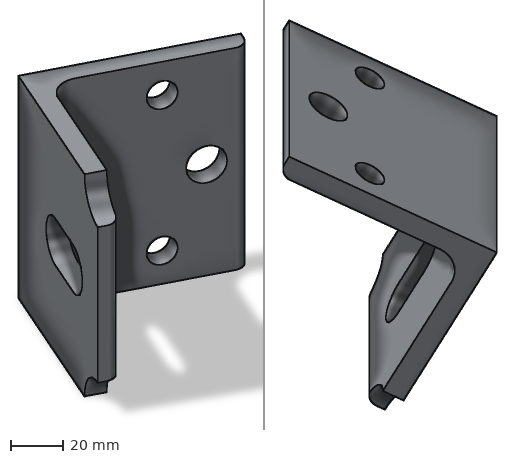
import cadquery as cq

leg = 90.0
height = 100.0
thickness = 9.0
root_radius = 11.0
toe_radius = 5.5

slot_length = 41.0
slot_width = 21.0
slot_center_x = 52.0

notch_radius = 15.0

small_hole_diameter = 12.5
small_hole_y = 55.0
small_hole_edge_distance = 15.0
large_hole_diameter = 16.5
large_hole_y = 73.0

mid_height = height / 2


def angle_profile():
    """L-shaped section with sharp inner root and toes."""
    return (
        cq.Workplane("XY")
        .polyline([
            (0, 0),
            (leg, 0),
            (leg, thickness),
            (thickness, thickness),
            (thickness, leg),
            (0, leg),
        ])
        .close()
    )


def vertical_edge(body, x, y):
    """Select the vertical edge nearest to the point (x, y)."""
    return body.edges("|Z").edges(cq.NearestToPointSelector((x, y, mid_height)))


def angle_bar():
    """Angle with its root filleted and both toes rounded on the inner side."""
    body = angle_profile().extrude(height)
    body = vertical_edge(body, thickness, thickness).fillet(root_radius)
    for x, y in [(leg, thickness), (thickness, leg)]:
        body = vertical_edge(body, x, y).fillet(toe_radius)
    return body


def through_x_leg(sketch):
    """Turn a closed XZ outline into a cutter through the leg along X."""
    return sketch.extrude(-thickness)


def round_hole(y, z, diameter):
    """Cutter for a round hole through the leg along Y."""
    return cq.Workplane("YZ").center(y, z).circle(diameter / 2).extrude(thickness)


result = angle_bar()

slot = cq.Workplane("XZ").center(slot_center_x, mid_height).slot2D(slot_length, slot_width)
result = result.cut(through_x_leg(slot))

for corner_z in (0, height):
    notch = cq.Workplane("XZ").center(leg, corner_z).circle(notch_radius)
    result = result.cut(through_x_leg(notch))

for hole_z in (small_hole_edge_distance, height - small_hole_edge_distance):
    result = result.cut(round_hole(small_hole_y, hole_z, small_hole_diameter))

result = result.cut(round_hole(large_hole_y, mid_height, large_hole_diameter))